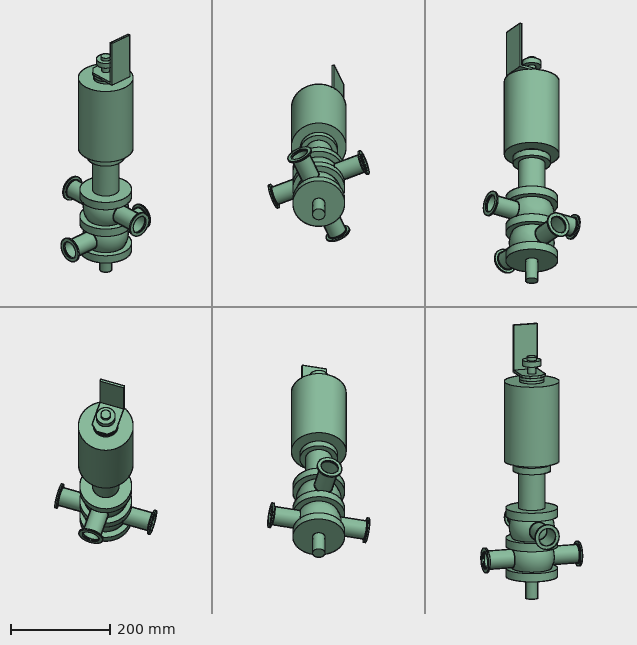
import cadquery as cq
import math

TOTAL_HEIGHT = 557.5
PORT_SPAN = 200.0

STUB_DIA = 25.0
FLANGE_DIA = 105.0
FLANGE_THICKNESS = 17.5
FLANGE_PITCH = 62.5
FIRST_FLANGE_Z = 45.0
BALL_DIA = 91.5

PIPE_DIA = 38.0
BORE_DIA = 35.5
FERRULE_DIA = 51.0
FERRULE_THICKNESS = 3.5
FERRULE_NECK_DIA = 40.0
FERRULE_NECK_LENGTH = 2.0

STEM_DIA = 54.0
COLLAR_DIA = 76.0
COLLAR_Z = 264.0
COLLAR_THICKNESS = 13.5
ACTUATOR_DIA = 111.0
ACTUATOR_Z = 284.0
ACTUATOR_TOP_Z = 449.0
BOSS_DIA = 50.0
BOSS_HEIGHT = 5.0

BRACKET_Z = 460.0
BRACKET_THICKNESS = 5.0
BRACKET_WIDTH = BOSS_DIA
BRACKET_REACH = 44.5
BRACKET_CHAMFER = 13.5
ROD_DIA = 16.0
KNOB_DIA = 38.0
KNOB_Z = 482.0
KNOB_THICKNESS = 11.0
CAP_DIA = 19.5
CAP_HEIGHT = 6.5

LOWER_BALL_Z = FIRST_FLANGE_Z + (FLANGE_THICKNESS + FLANGE_PITCH) / 2
UPPER_BALL_Z = LOWER_BALL_Z + FLANGE_PITCH
STEM_Z = UPPER_BALL_Z + (FLANGE_PITCH + FLANGE_THICKNESS) / 2
INDICATOR_Z = ACTUATOR_TOP_Z + BOSS_HEIGHT


def disc(diameter, bottom, top):
    """Upright cylinder on the Z axis."""
    return cq.Workplane("XY").workplane(offset=bottom).circle(diameter / 2).extrude(top - bottom)


def make_core():
    """Stub, flanges, balls, stem, collar, actuator and boss turned as one outline."""
    flange_radius = FLANGE_DIA / 2
    ball_radius = BALL_DIA / 2
    half_gap = (FLANGE_PITCH - FLANGE_THICKNESS) / 2
    ball_edge_radius = math.sqrt(ball_radius ** 2 - half_gap ** 2)
    collar_top = COLLAR_Z + COLLAR_THICKNESS

    outline = cq.Workplane("XZ").lineTo(STUB_DIA / 2, 0).lineTo(STUB_DIA / 2, FIRST_FLANGE_Z)
    outline = outline.lineTo(flange_radius, FIRST_FLANGE_Z)
    outline = outline.lineTo(flange_radius, FIRST_FLANGE_Z + FLANGE_THICKNESS)
    for ball_z in (LOWER_BALL_Z, UPPER_BALL_Z):
        next_flange_z = ball_z + half_gap
        outline = outline.lineTo(ball_edge_radius, ball_z - half_gap)
        outline = outline.threePointArc((ball_radius, ball_z), (ball_edge_radius, next_flange_z))
        outline = outline.lineTo(flange_radius, next_flange_z)
        outline = outline.lineTo(flange_radius, next_flange_z + FLANGE_THICKNESS)
    upper_sections = [
        (STEM_DIA, STEM_Z, COLLAR_Z),
        (COLLAR_DIA, COLLAR_Z, collar_top),
        (STEM_DIA, collar_top, ACTUATOR_Z),
        (ACTUATOR_DIA, ACTUATOR_Z, ACTUATOR_TOP_Z),
        (BOSS_DIA, ACTUATOR_TOP_Z, INDICATOR_Z),
    ]
    for diameter, bottom, top in upper_sections:
        outline = outline.lineTo(diameter / 2, bottom).lineTo(diameter / 2, top)
    core = outline.lineTo(0, INDICATOR_Z).close().revolve(360, (0, 0), (0, 1))
    return core.rotate((0, 0, 0), (0, 0, 1), 45)


def make_port(ball_z, angle):
    """Clamp-ended pipe starting inside its ball, which closes the bore."""
    face_x = PORT_SPAN / 2
    ferrule_x = face_x - FERRULE_THICKNESS
    neck_x = ferrule_x - FERRULE_NECK_LENGTH
    start_x = BALL_DIA / 4
    bore_radius = BORE_DIA / 2
    profile = [
        (start_x, bore_radius),
        (face_x, bore_radius),
        (face_x, FERRULE_DIA / 2),
        (ferrule_x, FERRULE_DIA / 2),
        (ferrule_x, FERRULE_NECK_DIA / 2),
        (neck_x, FERRULE_NECK_DIA / 2),
        (neck_x, PIPE_DIA / 2),
        (start_x, PIPE_DIA / 2),
    ]
    port = cq.Workplane("XY").polyline(profile).close().revolve(360, (0, 0, 0), (1, 0, 0))
    return port.rotate((0, 0, 0), (0, 0, 1), angle).translate((0, 0, ball_z))


def make_valve():
    """Turned core with two opposite ports on each ball, the pairs at right angles."""
    valve = make_core()
    for ball_z, pair_angle in ((LOWER_BALL_Z, 90), (UPPER_BALL_Z, 0)):
        for side_angle in (0, 180):
            valve = valve.union(make_port(ball_z, pair_angle + side_angle))
    return valve


def make_bracket():
    """L-shaped bracket with the two free corners of its flat leg cut off."""
    left_x = -BRACKET_WIDTH / 2
    length = BRACKET_REACH - left_x
    flat_leg = (
        cq.Workplane("XY")
        .box(length, BRACKET_WIDTH, BRACKET_THICKNESS, centered=(False, True, False))
        .edges("|Z and <X")
        .chamfer(BRACKET_CHAMFER)
        .translate((left_x, 0, BRACKET_Z))
    )
    upright_leg = (
        cq.Workplane("XY")
        .box(BRACKET_THICKNESS, BRACKET_WIDTH, TOTAL_HEIGHT - BRACKET_Z, centered=(False, True, False))
        .translate((BRACKET_REACH - BRACKET_THICKNESS, 0, BRACKET_Z))
    )
    return flat_leg.union(upright_leg)


def make_indicator():
    """Base disc, bracket, rod, knob and cap standing on the actuator boss."""
    knob_top = KNOB_Z + KNOB_THICKNESS
    indicator = disc(BOSS_DIA, INDICATOR_Z, BRACKET_Z).union(make_bracket())
    indicator = indicator.union(disc(ROD_DIA, BRACKET_Z, KNOB_Z))
    indicator = indicator.union(disc(KNOB_DIA, KNOB_Z, knob_top))
    return indicator.union(disc(CAP_DIA, knob_top, knob_top + CAP_HEIGHT))


valve = make_valve()
indicator = make_indicator()

result = cq.Compound.makeCompound([*valve.solids().vals(), *indicator.solids().vals()])